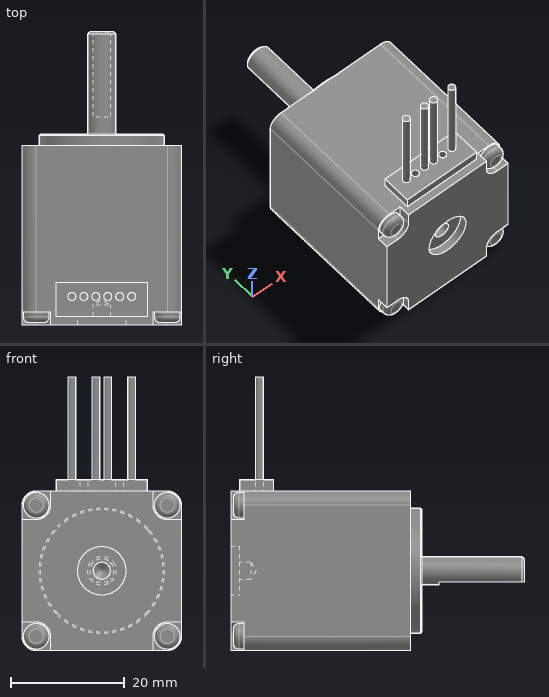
import cadquery as cq
import math


body_width = 28.0
body_length = 31.5
body_corner_radius = 2.5

pilot_diameter = 22.0
pilot_height = 2.0
pilot_chamfer = 0.25
shaft_diameter = 5.0
shaft_length = 18.0
shaft_chamfer = 0.4
shaft_flat_length = 15.0
shaft_flat_depth = 0.5

pocket_width = 5.0
pocket_inner_radius = pocket_width / 2
pocket_depth = 2.3
screw_offset = body_width / 2 - pocket_width / 2
screw_head_diameter = 4.5
screw_head_height = 1.9
screw_head_fillet = 1.0

recess_diameter = 8.5
recess_depth = 1.5
center_hole_diameter = 3.0
center_hole_depth = 2.0
drill_point_angle = 118.0

connector_width = 16.0
connector_depth = 6.0
connector_height = 2.0
connector_rear_gap = 1.5
lead_diameter = 1.4
lead_length = 18.0
lead_pitch = 2.1
lead_rear_distance = 5.0
lead_slots = 6
empty_slots = (1, 4)


def rod(diameter, start_y, length):
    """Cylinder on the motor axis, running toward +Y from start_y."""
    return cq.Workplane("XZ", origin=(0, start_y, 0)).circle(diameter / 2).extrude(-length)


def make_body():
    block = cq.Workplane("XZ").rect(body_width, body_width).extrude(-body_length)
    return block.edges("|Y").fillet(body_corner_radius)


def make_pilot():
    return rod(pilot_diameter, body_length, pilot_height).faces(">Y").chamfer(pilot_chamfer)


def make_shaft():
    root_y = body_length + pilot_height
    tip_y = root_y + shaft_length
    shaft = rod(shaft_diameter, root_y, shaft_length).faces(">Y").chamfer(shaft_chamfer)
    flat_cutter = cq.Workplane("XY").box(
        shaft_diameter, shaft_flat_length, shaft_flat_depth, centered=(True, False, False)
    )
    return shaft.cut(flat_cutter.translate((0, tip_y - shaft_flat_length, -shaft_diameter / 2)))


def make_corner_pocket(side_x, side_z):
    """Square corner cutter whose edge nearest the motor axis is rounded."""
    cutter = cq.Workplane("XZ").rect(pocket_width, pocket_width).extrude(-pocket_depth)
    inner_x = "<X" if side_x > 0 else ">X"
    inner_z = "<Z" if side_z > 0 else ">Z"
    cutter = cutter.faces(inner_x).edges("|Y").edges(inner_z).fillet(pocket_inner_radius)
    return cutter.translate((side_x * screw_offset, 0, side_z * screw_offset))


def make_screw_head(side_x, side_z):
    head = rod(screw_head_diameter, pocket_depth - screw_head_height, screw_head_height)
    head = head.faces("<Y").edges().fillet(screw_head_fillet)
    return head.translate((side_x * screw_offset, 0, side_z * screw_offset))


def make_center_recess():
    """Shallow round recess followed by a drilled hole with a conical end."""
    recess_radius = recess_diameter / 2
    hole_radius = center_hole_diameter / 2
    hole_end = recess_depth + center_hole_depth
    cone_height = hole_radius / math.tan(math.radians(drill_point_angle / 2))
    half_section = (
        cq.Workplane("XY")
        .moveTo(0, 0)
        .lineTo(recess_radius, 0)
        .lineTo(recess_radius, recess_depth)
        .lineTo(hole_radius, recess_depth)
        .lineTo(hole_radius, hole_end)
        .lineTo(0, hole_end + cone_height)
        .close()
    )
    return half_section.revolve(360, (0, 0, 0), (0, 1, 0))


def make_connector():
    """Rectangular connector with a row of slots, most of them holding a lead."""
    base_z = body_width / 2
    top_z = base_z + connector_height
    connector = cq.Workplane("XY").box(
        connector_width, connector_depth, connector_height, centered=(True, False, False)
    )
    connector = connector.translate((0, connector_rear_gap, base_z))
    for slot in range(lead_slots):
        slot_x = (slot - (lead_slots - 1) / 2) * lead_pitch
        slot_top = cq.Workplane("XY", origin=(slot_x, lead_rear_distance, top_z))
        slot_outline = slot_top.circle(lead_diameter / 2)
        if slot in empty_slots:
            connector = connector.cut(slot_outline.extrude(-connector_height))
        else:
            connector = connector.union(slot_outline.extrude(lead_length))
    return connector


result = make_body().union(make_pilot()).union(make_shaft())
for side_x in (-1, 1):
    for side_z in (-1, 1):
        result = result.cut(make_corner_pocket(side_x, side_z))
        result = result.union(make_screw_head(side_x, side_z))
result = result.cut(make_center_recess()).union(make_connector())